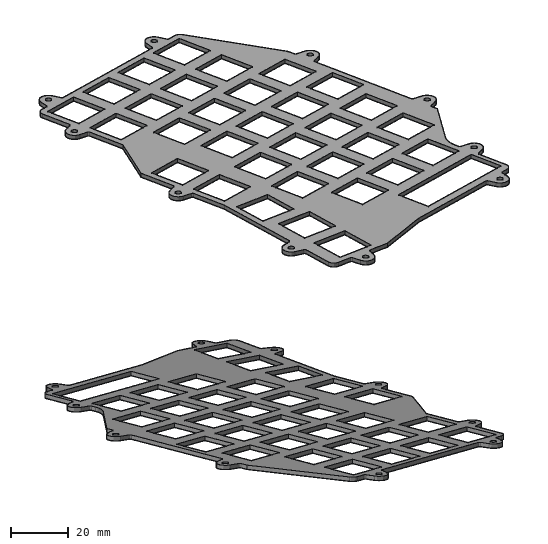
import cadquery as cq
import math

THICKNESS = 1.6
LENGTH_X = 165.72
LENGTH_Y = 121.62

PITCH = 19.0
KEY_SIZE = 14.0
EDGE_MARGIN = 2.6
FIRST_COLUMN_X = -67.2
FIRST_COLUMN_TOP_Y = 30.95
COLUMNS = [(0, 4), (0, 4), (0.6, 4), (0.75, 4), (0.5, 4), (0.35, 4), (-0.15, 3)]

THUMB_ANGLE = 10.0
STRAIGHT_THUMB_KEYS = [(-10.25, -38.45), (8.55, -38.45)]
TURNED_THUMB_KEYS = [(29.6, -40.4), (48.8, -40.9), (67.4, -44.15)]

WINDOW_CENTER = (65.45, 16.1)
WINDOW_SIZE = (13.4, 39.3)

TAB_RADIUS = 3.2
TAB_HOLE_DIAMETER = 2.2
TAB_TAPER = 15.0
TAB_ROOT_FILLET = 0.6
TAB_OVERLAP = 1.0

LEFT_X = FIRST_COLUMN_X - KEY_SIZE / 2 - EDGE_MARGIN
RIGHT_X = 75.35
TOP_Y = 54.6
RIGHT_TOP_Y = 37.65
LEFT_BOTTOM_Y = FIRST_COLUMN_TOP_Y - 3 * PITCH - KEY_SIZE / 2 - EDGE_MARGIN
THUMB_BOTTOM_Y = -47.95
CORNER_RADIUS = 2.5
SHOULDER_RADIUS = 9.0

UPPER_LEFT = (LEFT_X, 40.35)
LOWER_LEFT = (LEFT_X, LEFT_BOTTOM_Y)
UPPER_RIGHT = (RIGHT_X, RIGHT_TOP_Y)
SHOULDER = (46.2, RIGHT_TOP_Y)
THUMB_BEND = (17.5, THUMB_BOTTOM_Y)
SIDE_BEND = (RIGHT_X, -12.4)
TOP_LEFT = (-39.1, TOP_Y)
TOP_RIGHT = (27.9, TOP_Y)
LOWER_BEND = (-38.3, LEFT_BOTTOM_Y)
THUMB_LEFT = (-19.9, THUMB_BOTTOM_Y)
SIDE_PEAK = (78.95, -33.8)


def thumb_corner():
    """Point where the turned lower edge meets the turned right edge at a right angle."""
    angle = math.radians(THUMB_ANGLE)
    run = SIDE_PEAK[0] - THUMB_BEND[0]
    rise = SIDE_PEAK[1] - THUMB_BEND[1]
    along = run * math.cos(angle) - rise * math.sin(angle)
    return (
        THUMB_BEND[0] + along * math.cos(angle),
        THUMB_BEND[1] - along * math.sin(angle),
    )


THUMB_CORNER = thumb_corner()

TAB_INSET_X = LENGTH_X / 2 - TAB_RADIUS
TAB_INSET_Y = LENGTH_Y / 2 - TAB_RADIUS
TABS = [
    ((-31.75, TAB_INSET_Y), 90, TOP_LEFT),
    ((20.75, TAB_INSET_Y), 90, TOP_LEFT),
    ((56.1, 40.5), 90, UPPER_RIGHT),
    ((78.0, 28.15), 0, UPPER_RIGHT),
    ((-TAB_INSET_X, 30.95), 180, LOWER_LEFT),
    ((-TAB_INSET_X, -26.05), 180, LOWER_LEFT),
    ((-57.7, -38.45), -90, LOWER_LEFT),
    ((-0.8, -50.85), -90, THUMB_BEND),
    ((55.6, -TAB_INSET_Y), -90 - THUMB_ANGLE, THUMB_BEND),
    ((TAB_INSET_X, -46.35), -THUMB_ANGLE, SIDE_PEAK),
]


def tab_drop(center, direction, edge_point):
    """Distance from a tab's hole centre straight back to the plate edge."""
    angle = math.radians(direction)
    run = center[0] - edge_point[0]
    rise = center[1] - edge_point[1]
    return run * math.cos(angle) + rise * math.sin(angle)


def fillet_corners(body, corners, radius):
    """Round the upright edges that stand at the given corners."""
    reach = 0.05
    for x, y in corners:
        box = cq.selectors.BoxSelector(
            (x - reach, y - reach, -reach), (x + reach, y + reach, THICKNESS + reach)
        )
        body = body.edges("|Z").edges(box).fillet(radius)
    return body


def make_plate():
    outline = [
        LOWER_LEFT,
        LOWER_BEND,
        THUMB_LEFT,
        THUMB_BEND,
        THUMB_CORNER,
        SIDE_PEAK,
        SIDE_BEND,
        UPPER_RIGHT,
        SHOULDER,
        TOP_RIGHT,
        TOP_LEFT,
        UPPER_LEFT,
    ]
    plate = cq.Workplane("XY").polyline(outline).close().extrude(THICKNESS)
    plate = fillet_corners(plate, [LOWER_LEFT, UPPER_LEFT, UPPER_RIGHT, THUMB_CORNER], CORNER_RADIUS)
    return fillet_corners(plate, [SHOULDER], SHOULDER_RADIUS)


def tab_half_width(drop):
    """Half width of a tab at a distance below its hole centre."""
    taper = math.radians(TAB_TAPER)
    return TAB_RADIUS / math.cos(taper) + drop * math.tan(taper)


def make_tab(center, direction, edge_point):
    """Round-ended tab whose sides flare from the tip arc into the plate."""
    drop = tab_drop(center, direction, edge_point)
    taper = math.radians(TAB_TAPER)
    tangent_x = TAB_RADIUS * math.cos(taper)
    tangent_y = TAB_RADIUS * math.sin(taper)
    root = tab_half_width(drop)
    return (
        cq.Workplane("XY")
        .moveTo(-root, -drop - TAB_OVERLAP)
        .lineTo(-root, -drop)
        .lineTo(-tangent_x, tangent_y)
        .threePointArc((0, TAB_RADIUS), (tangent_x, tangent_y))
        .lineTo(root, -drop)
        .lineTo(root, -drop - TAB_OVERLAP)
        .close()
        .extrude(THICKNESS)
        .rotate((0, 0, 0), (0, 0, 1), direction - 90)
        .translate((center[0], center[1], 0))
    )


def tab_roots(center, direction, edge_point):
    """The two corners where a tab's sides meet the plate edge."""
    drop = tab_drop(center, direction, edge_point)
    angle = math.radians(direction)
    roots = []
    for half in (-tab_half_width(drop), tab_half_width(drop)):
        x = center[0] - drop * math.cos(angle) - half * math.sin(angle)
        y = center[1] - drop * math.sin(angle) + half * math.cos(angle)
        roots.append((x, y))
    return roots


def add_tabs(body):
    for tab in TABS:
        body = body.union(make_tab(*tab))
    for tab in TABS:
        body = fillet_corners(body, tab_roots(*tab), TAB_ROOT_FILLET)
    centers = [center for center, _, _ in TABS]
    holes = cq.Workplane("XY").pushPoints(centers).circle(TAB_HOLE_DIAMETER / 2).extrude(THICKNESS)
    return body.cut(holes)


def column_key_centers():
    centers = []
    for column, (rise, count) in enumerate(COLUMNS):
        for row in range(count):
            centers.append((FIRST_COLUMN_X + column * PITCH, FIRST_COLUMN_TOP_Y + (rise - row) * PITCH))
    return centers


def cut_openings(body):
    straight = column_key_centers() + STRAIGHT_THUMB_KEYS
    keys = cq.Workplane("XY").pushPoints(straight).rect(KEY_SIZE, KEY_SIZE).extrude(THICKNESS)
    window = cq.Workplane("XY").center(*WINDOW_CENTER).rect(*WINDOW_SIZE).extrude(THICKNESS)
    body = body.cut(keys).cut(window)
    for x, y in TURNED_THUMB_KEYS:
        key = cq.Workplane("XY").rect(KEY_SIZE, KEY_SIZE).extrude(THICKNESS)
        body = body.cut(key.rotate((0, 0, 0), (0, 0, 1), -THUMB_ANGLE).translate((x, y, 0)))
    return body


result = cut_openings(add_tabs(make_plate()))